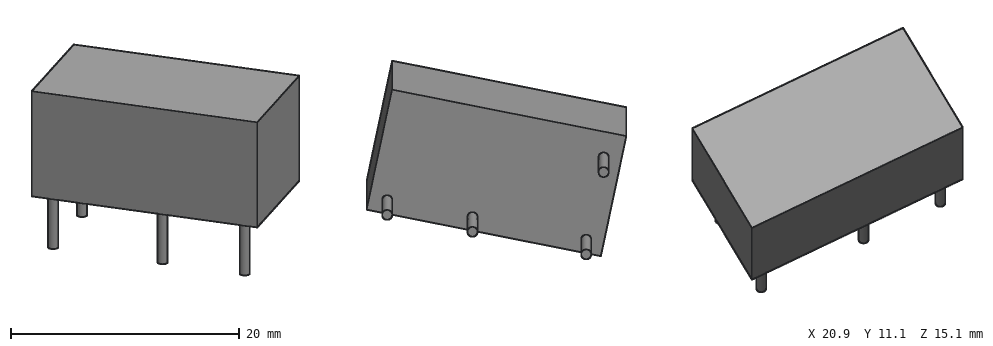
import cadquery as cq

housing_length = 20.95
housing_width = 11.1
total_height = 15.1
pin_length = 5.1
housing_height = total_height - pin_length

pin_diameter = 0.9
end_pin_x = 1.57
middle_pin_offset = 10.16
far_pin_offset = 17.79
front_row_y = 1.22
row_spacing = 7.6

middle_pin_x = end_pin_x + middle_pin_offset
far_pin_x = end_pin_x + far_pin_offset
back_row_y = front_row_y + row_spacing

pin_places = [
    (end_pin_x, front_row_y),
    (middle_pin_x, front_row_y),
    (far_pin_x, front_row_y),
    (end_pin_x, back_row_y),
]


def make_housing():
    return cq.Workplane("XY").box(housing_length, housing_width, housing_height, centered=False)


def make_pin(x, y):
    """A round pin reaching down from the underside of the housing."""
    return cq.Workplane("XY").center(x, y).circle(pin_diameter / 2).extrude(-pin_length)


housing = make_housing()
pins = [make_pin(x, y) for x, y in pin_places]

result = cq.Compound.makeCompound([housing.val(), *[pin.val() for pin in pins]])